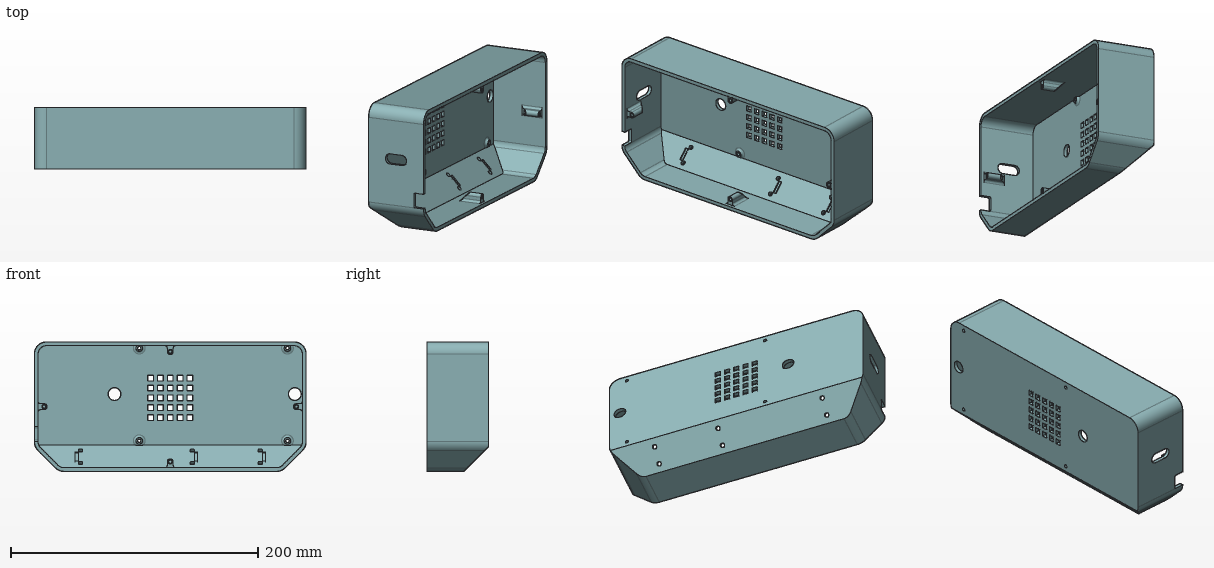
import cadquery as cq
import math


length = 220.0
depth = 50.0
height = 105.0
wall = 3.0
corner_radius = 10.0
chamfer_leg = 20.0
back_inside = depth - wall

post_radius = 2.5
post_hole_radius = 1.3
post_countersink_radius = 1.8
post_inset = 8.0
post_front = 2.9
post_top_length = 11.0
post_flare = 2.0
post_height = post_inset + post_radius - wall

standoff_xs = (85.0, 204.8)
standoff_zs = (24.9, 99.9)
standoff_radius = 2.6
standoff_hole_radius = 1.3
standoff_height = 2.1

vent_count = 5
vent_span = 32.0
vent_pitch = vent_span / (vent_count - 1)
vent_side = 4.5
vent_center_z = 59.6

opening_radius = 5.0
opening_xs = (65.0, 210.8)
opening_z = 62.7

slot_length = 19.1
slot_width = 8.5
slot_z = 62.5
notch_depth = 8.8
notch_bottom = 24.2
notch_top = 36.5
notch_fillet = 1.2

pair_xs = (37.5, 127.8, 182.8)
pocket_sides = (-1, 1, 1)
pair_z = 12.0
pair_spacing = 14.3
pair_hole_radius = 1.8
pocket_offset = 3.0
pocket_width = 2.6
pocket_length = 10.5
pocket_depth = 1.0


def frame_prism(inset):
    """Front outline with chamfered lower corners, moved in by inset and run through the full depth."""
    low_corner = chamfer_leg + inset * (math.sqrt(2) - 1)
    left = inset
    right = length - inset
    bottom = inset
    top = height - inset
    outline = [
        (left, low_corner),
        (low_corner, bottom),
        (length - low_corner, bottom),
        (right, low_corner),
        (right, top),
        (left, top),
    ]
    prism = cq.Workplane("XZ").polyline(outline).close().extrude(-depth)
    return prism.edges("|Y").fillet(corner_radius - inset)


def side_prism(inset):
    """Side outline with a sloped lower back corner; its back, slope and bottom are moved in by inset."""
    low_corner = chamfer_leg + inset * (math.sqrt(2) - 1)
    outline = [
        (0, inset),
        (depth - low_corner, inset),
        (depth - inset, low_corner),
        (depth - inset, height),
        (0, height),
    ]
    return cq.Workplane("YZ").polyline(outline).close().extrude(length)


def make_post():
    """Post standing up along +Z from the origin, with its front face at Y = 0 and a 45 degree back end."""
    axis_height = post_height - post_radius
    base_half = post_radius + post_flare
    root = -wall / 2
    section = (
        cq.Workplane("XZ")
        .moveTo(-base_half, root)
        .lineTo(-base_half, 0)
        .radiusArc((-post_radius, post_flare), -post_flare)
        .lineTo(-post_radius, axis_height)
        .threePointArc((0, post_height), (post_radius, axis_height))
        .lineTo(post_radius, post_flare)
        .radiusArc((base_half, 0), -post_flare)
        .lineTo(base_half, root)
        .close()
    )
    base_length = post_top_length + post_height
    side = [
        (0, root),
        (base_length - root, root),
        (post_top_length, post_height),
        (0, post_height),
    ]
    sloped_end = cq.Workplane("YZ").polyline(side).close().extrude(base_half, both=True)
    post = section.extrude(-base_length + root).intersect(sloped_end)
    countersink_depth = post_countersink_radius - post_hole_radius
    hole_plane = cq.Workplane("XZ").center(0, axis_height)
    hole = hole_plane.circle(post_hole_radius).extrude(-base_length)
    countersink = hole_plane.circle(post_countersink_radius).extrude(-countersink_depth, taper=45)
    return post.cut(hole).cut(countersink)


def make_standoff():
    """Standoff on the XZ plane rising along -Y, its side one concave flare."""
    foot_radius = standoff_radius + standoff_height
    root = wall / 2
    return (
        cq.Workplane("XY")
        .moveTo(0, root)
        .lineTo(foot_radius, root)
        .lineTo(foot_radius, 0)
        .radiusArc((standoff_radius, -standoff_height), -standoff_height)
        .lineTo(0, -standoff_height)
        .close()
        .revolve(360, (0, 0), (0, 1))
    )


outer = frame_prism(0).intersect(side_prism(0))
inner = frame_prism(wall).intersect(side_prism(wall))
body = outer.cut(inner)

standoff_places = [(x, z) for x in standoff_xs for z in standoff_zs]
for x, z in standoff_places:
    standoff = make_standoff().translate((x, back_inside, z))
    body = body.union(standoff.intersect(outer))

post_seats = [
    ((length / 2, wall), 0),
    ((wall, height / 2), 90),
    ((length / 2, height - wall), 180),
    ((length - wall, height / 2), 270),
]
for (x, z), angle in post_seats:
    post = make_post().rotate((0, 0, 0), (0, 1, 0), angle)
    body = body.union(post.translate((x, post_front, z)))

back_plane = cq.Workplane("XZ")
standoff_holes = back_plane.pushPoints(standoff_places).circle(standoff_hole_radius).extrude(-depth)
round_openings = (
    back_plane.pushPoints([(x, opening_z) for x in opening_xs]).circle(opening_radius).extrude(-depth)
)
vents = (
    back_plane.center(length / 2, vent_center_z)
    .rarray(vent_pitch, vent_pitch, vent_count, vent_count)
    .rect(vent_side, vent_side)
    .extrude(-depth)
)
body = body.cut(standoff_holes).cut(round_openings).cut(vents)

slot = cq.Workplane("YZ").center(depth / 2, slot_z).slot2D(slot_length, slot_width).extrude(wall)
notch = (
    cq.Workplane("XY")
    .box(wall, notch_depth, notch_top - notch_bottom, centered=False)
    .translate((0, 0, notch_bottom))
    .edges("|X and >Y")
    .fillet(notch_fillet)
)
body = body.cut(slot).cut(notch)

slope_offset = depth - chamfer_leg - wall * math.sqrt(2)
for x, side in zip(pair_xs, pocket_sides):
    slope_plane = cq.Plane(
        origin=(x, slope_offset + pair_z, pair_z),
        xDir=(1, 0, 0),
        normal=(0, -1, 1),
    )
    holes = (
        cq.Workplane(slope_plane)
        .rarray(2.2, pair_spacing, 1, 2)
        .circle(pair_hole_radius)
        .extrude(-2 * wall)
    )
    pocket = (
        cq.Workplane(slope_plane)
        .center(side * pocket_offset, 0)
        .rect(pocket_width, pocket_length)
        .extrude(-pocket_depth)
    )
    body = body.cut(holes).cut(pocket)

result = body